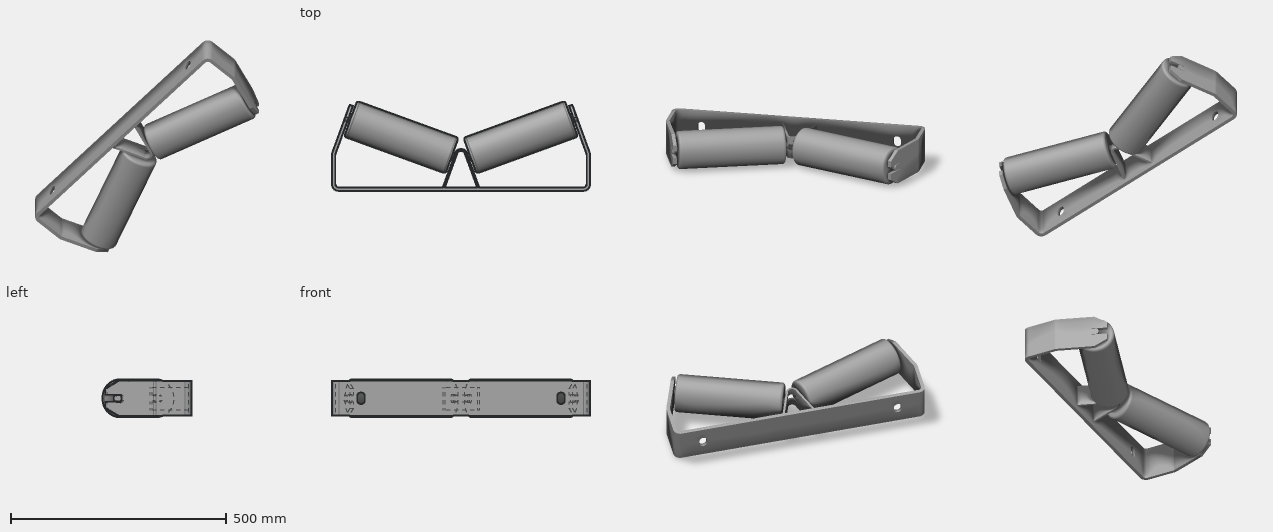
import cadquery as cq
import math

SPAN = 600.0
STRIP_WIDTH = 81.0
STRIP_THICKNESS = 8.5
BEND_INNER_RADIUS = 8.0

TILT = 20.0
ROLLER_MID_X = 138.5
ROLLER_MID_Y = 125.0
ROLLER_DIAMETER = 89.0
ROLLER_LENGTH = 251.0
ROLLER_EDGE_RADIUS = 6.0
SHAFT_DIAMETER = 20.0
SHAFT_ACROSS_FLATS = 14.0
FACE_DISTANCE = 130.0

ARM_TIP = 30.0
TIP_CHAMFER_LENGTH = 30.0
TIP_CHAMFER_WIDTH = 17.5
SHAFT_SLOT_WIDTH = 16.0

MOUNT_SLOT_X = 232.0
MOUNT_SLOT_WIDTH = 18.0
MOUNT_SLOT_HEIGHT = 27.0

BRACKET_WIDTH = 52.0
BRACKET_THICKNESS = 5.0
CROWN_TOP = 98.0

SIN_TILT = math.sin(math.radians(TILT))
COS_TILT = math.cos(math.radians(TILT))
BEND_OUTER_RADIUS = BEND_INNER_RADIUS + STRIP_THICKNESS
SHAFT_RADIUS = SHAFT_DIAMETER / 2

roller_plane = cq.Plane(
    origin=(-ROLLER_MID_X, ROLLER_MID_Y, 0),
    xDir=(SIN_TILT, COS_TILT, 0),
    normal=(COS_TILT, -SIN_TILT, 0),
)


def on_circle(centre, radius, degrees):
    """Point on a circle in XY, the angle measured from +X."""
    angle = math.radians(degrees)
    return (centre[0] + radius * math.cos(angle), centre[1] + radius * math.sin(angle))


def beside_roller(across, along):
    """XY point given in the local frame of the left roller."""
    point = roller_plane.toWorldCoords((across, 0, along))
    return (point.x, point.y)


def mirror_copy(body):
    """The same body on the other side of the centre plane."""
    return body.mirror("YZ")


def shaft_with_flats(start, end, radius, across_flats):
    """Shaft length along the left roller axis, flattened above and below."""
    length = end - start
    start_face = cq.Workplane(roller_plane).workplane(offset=start)
    round_bar = start_face.circle(radius).extrude(length)
    flat_bar = start_face.rect(2 * radius, across_flats).extrude(length)
    return round_bar.intersect(flat_bar)


def shaft_slot_cutter():
    """Open slot along the left roller axis; its closed end is rounded to the shaft."""
    half_width = SHAFT_SLOT_WIDTH / 2
    arc_start = -math.sqrt(SHAFT_RADIUS**2 - half_width**2)
    open_end = 2 * ARM_TIP
    return (
        cq.Workplane(roller_plane)
        .moveTo(open_end, -half_width)
        .lineTo(arc_start, -half_width)
        .threePointArc((-SHAFT_RADIUS, 0), (arc_start, half_width))
        .lineTo(open_end, half_width)
        .close()
        .extrude(ROLLER_LENGTH, both=True)
    )


def arm_tip_cutters():
    """Corner prisms that narrow the tip of the left arm above and below."""
    edge = STRIP_WIDTH / 2
    corner = (
        cq.Workplane(roller_plane)
        .polyline([
            (ARM_TIP - TIP_CHAMFER_LENGTH, edge),
            (ARM_TIP, edge),
            (ARM_TIP, edge - TIP_CHAMFER_WIDTH),
        ])
        .close()
        .extrude(-ROLLER_LENGTH)
    )
    return corner.union(corner.mirror("XY"))


def mount_slot_cutter():
    """Upright round-ended slot through the base, on the left side."""
    return (
        cq.Workplane("XZ", origin=(-MOUNT_SLOT_X, 0, 0))
        .slot2D(MOUNT_SLOT_HEIGHT, MOUNT_SLOT_WIDTH, 90)
        .extrude(-STRIP_THICKNESS)
    )


def make_frame():
    """Bent strip: base, two upright legs and two arms leaning inwards."""
    left = -SPAN / 2
    corner = (left + BEND_OUTER_RADIUS, BEND_OUTER_RADIUS)
    arm_face = -ROLLER_MID_X * COS_TILT - ROLLER_MID_Y * SIN_TILT - FACE_DISTANCE
    bend_y = (corner[0] * COS_TILT - arm_face - BEND_INNER_RADIUS) / SIN_TILT
    bend = (corner[0], bend_y)
    arm_angle = 180 - TILT
    half_bend_angle = 180 - TILT / 2
    half = (
        cq.Workplane("XY")
        .moveTo(0, 0)
        .lineTo(corner[0], 0)
        .threePointArc(on_circle(corner, BEND_OUTER_RADIUS, 225), (left, corner[1]))
        .lineTo(left, bend_y)
        .threePointArc(
            on_circle(bend, BEND_OUTER_RADIUS, half_bend_angle),
            on_circle(bend, BEND_OUTER_RADIUS, arm_angle),
        )
        .lineTo(*beside_roller(ARM_TIP, -FACE_DISTANCE - STRIP_THICKNESS))
        .lineTo(*beside_roller(ARM_TIP, -FACE_DISTANCE))
        .lineTo(*on_circle(bend, BEND_INNER_RADIUS, arm_angle))
        .threePointArc(
            on_circle(bend, BEND_INNER_RADIUS, half_bend_angle),
            on_circle(bend, BEND_INNER_RADIUS, 180),
        )
        .lineTo(left + STRIP_THICKNESS, corner[1])
        .threePointArc(
            on_circle(corner, BEND_INNER_RADIUS, 225),
            on_circle(corner, BEND_INNER_RADIUS, 270),
        )
        .lineTo(0, STRIP_THICKNESS)
        .close()
        .extrude(STRIP_WIDTH / 2, both=True)
    )
    half = half.cut(arm_tip_cutters()).cut(shaft_slot_cutter()).cut(mount_slot_cutter())
    return half.union(mirror_copy(half))


def make_bracket():
    """Folded strip with two sloping legs and a round crown, slotted for both shafts."""
    leg_face = ROLLER_MID_X * COS_TILT + ROLLER_MID_Y * SIN_TILT - FACE_DISTANCE
    crown_outer = (leg_face - CROWN_TOP * SIN_TILT) / (1 - SIN_TILT)
    crown_inner = crown_outer - BRACKET_THICKNESS
    crown = (0, CROWN_TOP - crown_outer)
    foot_y = STRIP_THICKNESS
    foot_outer_x = (foot_y * SIN_TILT - leg_face) / COS_TILT
    foot_inner_x = foot_outer_x + BRACKET_THICKNESS / COS_TILT
    leg_angle = 180 - TILT
    mid_angle = (leg_angle + 90) / 2
    half = (
        cq.Workplane("XY")
        .moveTo(foot_inner_x, foot_y)
        .lineTo(foot_outer_x, foot_y)
        .lineTo(*on_circle(crown, crown_outer, leg_angle))
        .threePointArc(on_circle(crown, crown_outer, mid_angle), (0, CROWN_TOP))
        .lineTo(0, CROWN_TOP - BRACKET_THICKNESS)
        .threePointArc(
            on_circle(crown, crown_inner, mid_angle),
            on_circle(crown, crown_inner, leg_angle),
        )
        .close()
        .extrude(BRACKET_WIDTH / 2, both=True)
    )
    half = half.cut(shaft_slot_cutter())
    return half.union(mirror_copy(half))


def make_roller(on_right):
    """Roller with its shaft; the flattened shaft ends sit in the arm and bracket slots."""
    drum = (
        cq.Workplane(roller_plane)
        .workplane(offset=-ROLLER_LENGTH / 2)
        .circle(ROLLER_DIAMETER / 2)
        .extrude(ROLLER_LENGTH)
        .edges("%CIRCLE")
        .fillet(ROLLER_EDGE_RADIUS)
    )
    neck = cq.Workplane(roller_plane).circle(SHAFT_RADIUS).extrude(FACE_DISTANCE, both=True)
    flat_ends = shaft_with_flats(
        -FACE_DISTANCE - STRIP_THICKNESS,
        FACE_DISTANCE + BRACKET_THICKNESS,
        SHAFT_RADIUS,
        SHAFT_ACROSS_FLATS,
    )
    left_roller = drum.union(neck).union(flat_ends)
    return mirror_copy(left_roller) if on_right else left_roller


frame = make_frame()
bracket = make_bracket()
rollers = [make_roller(on_right) for on_right in (False, True)]

result = cq.Compound.makeCompound([
    frame.solids().val(),
    bracket.solids().val(),
    *[roller.solids().val() for roller in rollers],
])